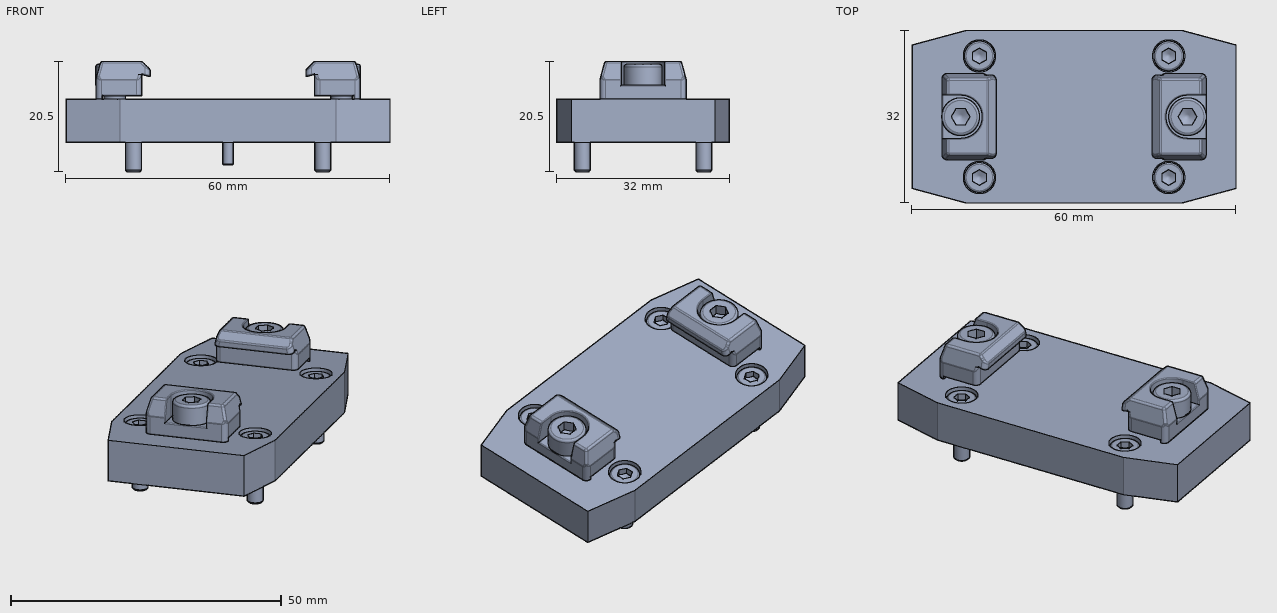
import cadquery as cq
import math

PLATE_LENGTH = 60.0
PLATE_WIDTH = 32.0
PLATE_HEIGHT = 8.0
CORNER_RUN = 10.0
CORNER_RISE = 2.7

FIXING_PITCH_X = 35.05
FIXING_PITCH_Y = 22.5
COUNTERBORE_DIAMETER = 6.0
COUNTERBORE_DEPTH = 3.5
FIXING_HEAD_DIAMETER = 5.5
FIXING_HEAD_RECESS = 0.5
FIXING_HEAD_FILLET = 0.3
FIXING_HEX_FLATS = 2.5
FIXING_HEX_DEPTH = 1.2
FIXING_SHANK_DIAMETER = 3.0
FIXING_SHANK_CHAMFER = 0.35
FIXING_REACH = 5.5

PIN_DIAMETER = 2.0
PIN_REACH = 4.2
PIN_CHAMFER = 0.2

CLAMP_BACK_X = -24.5
CLAMP_LENGTH = 8.5
CLAMP_WIDTH = 16.0
CLAMP_RISE = 7.0
CLAMP_GAP = 0.6
CLAMP_CORNER_RADIUS = 1.0
CLAMP_EDGE_FILLET = 0.5
SMALL_FILLET = 0.2
HEEL_LENGTH = 1.2
TAPER_START = 3.6
TAPER_ANGLE = 15.0
TAPER_BLEND = 0.6
NOSE_LENGTH = 1.55
NOSE_ROOT_RISE = 4.55

SCREW_X = -21.0
SLOT_WIDTH = 8.0
SLOT_FLOOR_RISE = 2.65
CLAMP_HEAD_DIAMETER = 7.0
CLAMP_HEAD_RECESS = 0.55
CLAMP_HEAD_FILLET = 0.5
CLAMP_HEX_FLATS = 3.0
CLAMP_HEX_DEPTH = 2.0
CLAMP_SHANK_DIAMETER = 4.0

HEX_HALF_SECTOR = 30.0
SOCKET_CONE_ANGLE = 120.0

TOLERANCE = 0.005

FIXING_X = FIXING_PITCH_X / 2
FIXING_Y = FIXING_PITCH_Y / 2
COUNTERBORE_FLOOR = PLATE_HEIGHT - COUNTERBORE_DEPTH
CLAMP_TOP = PLATE_HEIGHT + CLAMP_RISE
CLAMP_FRONT_X = CLAMP_BACK_X + CLAMP_LENGTH
NOSE_X = CLAMP_FRONT_X + NOSE_LENGTH
NOSE_ROOT_Z = PLATE_HEIGHT + NOSE_ROOT_RISE
SLOT_FLOOR = PLATE_HEIGHT + SLOT_FLOOR_RISE
TAPER_Z = PLATE_HEIGHT + TAPER_START
TAPER_INSET = (CLAMP_TOP - TAPER_Z) * math.tan(math.radians(TAPER_ANGLE))


def is_close(first, second):
    return math.isclose(first, second, abs_tol=TOLERANCE)


def cylinder(diameter, bottom, top, x=0, y=0):
    """Upright cylinder between two heights."""
    return cq.Workplane("XY", origin=(x, y, bottom)).circle(diameter / 2).extrude(top - bottom)


def hex_socket(flats, depth, top, turn):
    """Hexagonal socket with a conical floor, as a solid to cut away."""
    corners = flats / math.cos(math.radians(HEX_HALF_SECTOR))
    cone_depth = corners / 2 / math.tan(math.radians(SOCKET_CONE_ANGLE / 2))
    tip = top - depth - cone_depth
    prism = cq.Workplane("XY", origin=(0, 0, tip)).polygon(6, corners).extrude(depth + cone_depth)
    cone = cq.Solid.makeCone(0, corners / 2, cone_depth, pnt=cq.Vector(0, 0, tip))
    envelope = cylinder(corners, tip + cone_depth, top).union(cq.Workplane(cone))
    return prism.intersect(envelope).rotate((0, 0, 0), (0, 0, 1), turn)


def screw_head(diameter, bottom, top, fillet, hex_flats, hex_depth, hex_turn=0):
    """Round socket head centred on the Z axis."""
    head = cylinder(diameter, bottom, top).faces(">Z").edges().fillet(fillet)
    return head.cut(hex_socket(hex_flats, hex_depth, top, hex_turn))


def plate():
    x_end = PLATE_LENGTH / 2
    y_end = PLATE_WIDTH / 2
    x_bend = x_end - CORNER_RUN
    y_bend = y_end - CORNER_RISE
    outline = [
        (-x_end, -y_bend), (-x_bend, -y_end), (x_bend, -y_end), (x_end, -y_bend),
        (x_end, y_bend), (x_bend, y_end), (-x_bend, y_end), (-x_end, y_bend),
    ]
    return cq.Workplane("XY").polyline(outline).close().extrude(PLATE_HEIGHT)


def fixing_screw():
    """Screw resting on the counterbore floor, with its threaded end below the plate."""
    head = screw_head(
        FIXING_HEAD_DIAMETER, COUNTERBORE_FLOOR, PLATE_HEIGHT - FIXING_HEAD_RECESS,
        FIXING_HEAD_FILLET, FIXING_HEX_FLATS, FIXING_HEX_DEPTH, HEX_HALF_SECTOR,
    )
    shank = cylinder(FIXING_SHANK_DIAMETER, -FIXING_REACH, COUNTERBORE_FLOOR)
    return head.union(shank.faces("<Z").chamfer(FIXING_SHANK_CHAMFER))


def clamp_upper():
    """Tapered upper block with a nose that overhangs the front."""
    half_width = CLAMP_WIDTH / 2
    nose_drop = NOSE_LENGTH * math.tan(math.radians(TAPER_ANGLE))
    side = (
        cq.Workplane("XZ")
        .moveTo(CLAMP_BACK_X, TAPER_Z)
        .lineTo(CLAMP_FRONT_X, TAPER_Z)
        .lineTo(CLAMP_FRONT_X, NOSE_ROOT_Z)
        .lineTo(NOSE_X, NOSE_ROOT_Z - nose_drop)
        .lineTo(NOSE_X, CLAMP_TOP - NOSE_LENGTH)
        .lineTo(CLAMP_FRONT_X, CLAMP_TOP)
        .lineTo(CLAMP_BACK_X + TAPER_INSET, CLAMP_TOP)
        .close()
        .extrude(half_width, both=True)
    )
    end = (
        cq.Workplane("YZ", origin=(CLAMP_BACK_X, 0, 0))
        .moveTo(-half_width, TAPER_Z)
        .lineTo(half_width, TAPER_Z)
        .lineTo(half_width - TAPER_INSET, CLAMP_TOP)
        .lineTo(TAPER_INSET - half_width, CLAMP_TOP)
        .close()
        .extrude(CLAMP_LENGTH + NOSE_LENGTH)
    )
    block = side.intersect(end)
    middle_z = (TAPER_Z + CLAMP_TOP) / 2

    def is_back_corner(edge):
        center = edge.Center()
        near_back = center.x < CLAMP_BACK_X + TAPER_INSET
        return near_back and is_close(center.z, middle_z)

    block = block.edges().filter(is_back_corner).fillet(CLAMP_EDGE_FILLET)
    block = block.faces(">X").edges("not #Z").fillet(CLAMP_CORNER_RADIUS)
    nose_slope = block.faces(cq.selectors.DirectionMinMaxSelector(cq.Vector(1, 0, 1)))
    block = block.faces(">Z").edges().add(nose_slope.edges()).fillet(CLAMP_EDGE_FILLET)
    return block.faces(">X").edges("<Z").fillet(SMALL_FILLET)


def clamp_column():
    """Straight block with rounded corners and a heel that stands on the plate."""
    heel_x = CLAMP_BACK_X + HEEL_LENGTH
    gap_top = PLATE_HEIGHT + CLAMP_GAP
    block = (
        cq.Workplane("XY", origin=(CLAMP_BACK_X, 0, PLATE_HEIGHT))
        .rect(CLAMP_LENGTH, CLAMP_WIDTH, centered=(False, True))
        .extrude(CLAMP_RISE)
        .edges("|Z")
        .fillet(CLAMP_CORNER_RADIUS)
    )
    gap = (
        cq.Workplane("XY", origin=(heel_x, 0, PLATE_HEIGHT))
        .rect(CLAMP_LENGTH, CLAMP_WIDTH, centered=(False, True))
        .extrude(CLAMP_GAP)
    )

    def on_underside(edge):
        center = edge.Center()
        under_heel = is_close(center.z, PLATE_HEIGHT)
        over_gap = is_close(center.z, gap_top) and not is_close(center.x, heel_x)
        return under_heel or over_gap

    return block.cut(gap).edges().filter(on_underside).fillet(SMALL_FILLET)


def screw_slot():
    """Slot around the screw head, open at the back of the clamp."""
    opening = (
        cq.Workplane("XY", origin=(SCREW_X, 0, SLOT_FLOOR))
        .rect(-CLAMP_LENGTH, SLOT_WIDTH, centered=(False, True))
        .extrude(CLAMP_TOP - SLOT_FLOOR)
    )
    return opening.union(cylinder(SLOT_WIDTH, SLOT_FLOOR, CLAMP_TOP, SCREW_X))


def is_slot_mouth(edge):
    """True for the edges where the slot breaks through the outer faces of the clamp."""
    points = [edge.positionAt(place) for place in (0, 0.5, 1)]
    middle = points[1]

    def on_wall(point):
        across = max(point.x - SCREW_X, 0)
        return is_close(math.hypot(across, point.y), SLOT_WIDTH / 2)

    on_floor = is_close(middle.z, SLOT_FLOOR)
    floor_mouth = on_floor and is_close(middle.x, CLAMP_BACK_X)
    tangent_seam = all(is_close(point.x, SCREW_X) for point in points)
    wall_mouth = all(on_wall(point) for point in points) and not on_floor and not tangent_seam
    return floor_mouth or wall_mouth


def clamp_body():
    """Column below, tapered block above; only the nose reaches past the column."""
    column = clamp_column()
    foot_space = (
        cq.Workplane("XY", origin=(CLAMP_BACK_X, 0, PLATE_HEIGHT))
        .rect(CLAMP_LENGTH, CLAMP_WIDTH, centered=(False, True))
        .extrude(TAPER_START)
    )
    nose_outline = [
        (SCREW_X, NOSE_ROOT_Z), (CLAMP_FRONT_X, NOSE_ROOT_Z), (CLAMP_FRONT_X, TAPER_Z),
        (NOSE_X, TAPER_Z), (NOSE_X, CLAMP_TOP), (SCREW_X, CLAMP_TOP),
    ]
    nose_space = cq.Workplane("XZ").polyline(nose_outline).close().extrude(CLAMP_WIDTH / 2, both=True)
    upper = clamp_upper().intersect(column.union(nose_space))
    body = column.intersect(foot_space).union(upper)
    body = body.edges().filter(lambda edge: is_close(edge.Center().z, TAPER_Z)).fillet(TAPER_BLEND)
    return body.cut(screw_slot()).edges().filter(is_slot_mouth).fillet(SMALL_FILLET)


def clamp():
    """Clamp together with its screw."""
    head = screw_head(
        CLAMP_HEAD_DIAMETER, SLOT_FLOOR, CLAMP_TOP - CLAMP_HEAD_RECESS,
        CLAMP_HEAD_FILLET, CLAMP_HEX_FLATS, CLAMP_HEX_DEPTH,
    ).translate((SCREW_X, 0, 0))
    shank = cylinder(CLAMP_SHANK_DIAMETER, PLATE_HEIGHT, SLOT_FLOOR, SCREW_X)
    return clamp_body().union(head).union(shank)


def locating_pin():
    return cylinder(PIN_DIAMETER, -PIN_REACH, 0, y=-FIXING_Y).faces("<Z").chamfer(PIN_CHAMFER)


result = plate().union(locating_pin())
for x in (-FIXING_X, FIXING_X):
    for y in (-FIXING_Y, FIXING_Y):
        counterbore = cylinder(COUNTERBORE_DIAMETER, COUNTERBORE_FLOOR, PLATE_HEIGHT, x, y)
        result = result.cut(counterbore).union(fixing_screw().translate((x, y, 0)))

left_clamp = clamp()
result = result.union(left_clamp).union(left_clamp.mirror("YZ"))